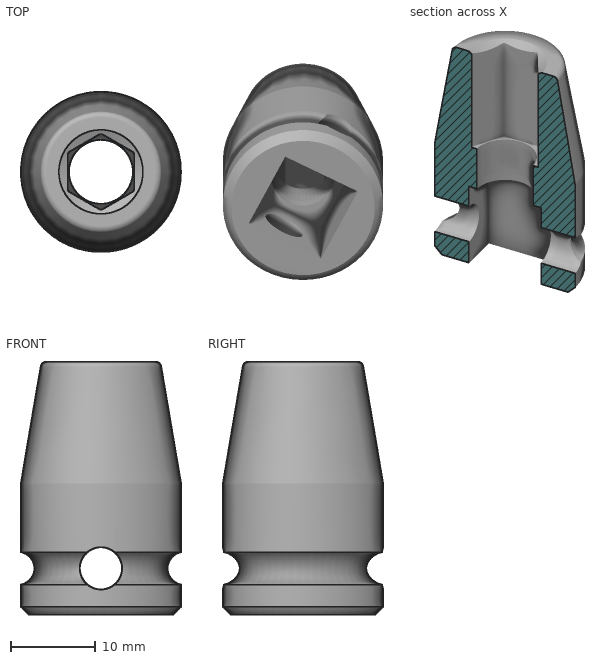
import cadquery as cq
import math

height = 30.0
body_diameter = 19.0
body_radius = body_diameter / 2
base_chamfer = 1.0
shoulder_height = 15.6
tip_radius = 7.05
tip_fillet = 0.7

groove_center_height = 5.52
groove_width = 3.85
groove_depth = 1.6
pin_hole_diameter = 4.98

drive_width = 9.65
drive_depth = 10.8

bore_diameter = 7.55
hex_across_flats = 7.85
hex_depth = 13.5
hex_corner_fillet = 0.42
mouth_radius = 4.98
mouth_angle = 30.0


def make_body():
    """Revolve the outer profile with its rounded groove and tapered nose."""
    groove_bottom = groove_center_height - groove_width / 2
    groove_top = groove_center_height + groove_width / 2
    profile = (
        cq.Workplane("XZ")
        .moveTo(0, 0)
        .lineTo(body_radius - base_chamfer, 0)
        .lineTo(body_radius, base_chamfer)
        .lineTo(body_radius, groove_bottom)
        .threePointArc(
            (body_radius - groove_depth, groove_center_height),
            (body_radius, groove_top),
        )
        .lineTo(body_radius, shoulder_height)
        .lineTo(tip_radius, height)
        .lineTo(0, height)
        .close()
    )
    body = profile.revolve(360, (0, 0, 0), (0, 1, 0))
    return body.faces(">Z").edges().fillet(tip_fillet)


def make_hex_socket():
    """Hexagonal prism down from the top face, with rounded corners, two of them on the Y axis."""
    hex_across_corners = hex_across_flats / math.cos(math.pi / 6)
    return (
        cq.Workplane("XY")
        .workplane(offset=height - hex_depth)
        .transformed(rotate=(0, 0, 90))
        .polygon(6, hex_across_corners)
        .extrude(hex_depth)
        .edges("|Z")
        .fillet(hex_corner_fillet)
    )


def make_mouth():
    """Conical lead-in that widens the hexagon at the top face."""
    cone_depth = mouth_radius * math.tan(math.radians(mouth_angle))
    return (
        cq.Workplane("XZ")
        .moveTo(0, height)
        .lineTo(mouth_radius, height)
        .lineTo(0, height - cone_depth)
        .close()
        .revolve(360, (0, 0, 0), (0, 1, 0))
    )


bore = cq.Workplane("XY").circle(bore_diameter / 2).extrude(height)
drive_recess = cq.Workplane("XY").rect(drive_width, drive_width).extrude(drive_depth)
pin_hole = (
    cq.Workplane("XZ")
    .center(0, groove_center_height)
    .circle(pin_hole_diameter / 2)
    .extrude(body_radius, both=True)
)

result = make_body()
for cutter in (bore, make_hex_socket(), make_mouth(), drive_recess, pin_hole):
    result = result.cut(cutter)